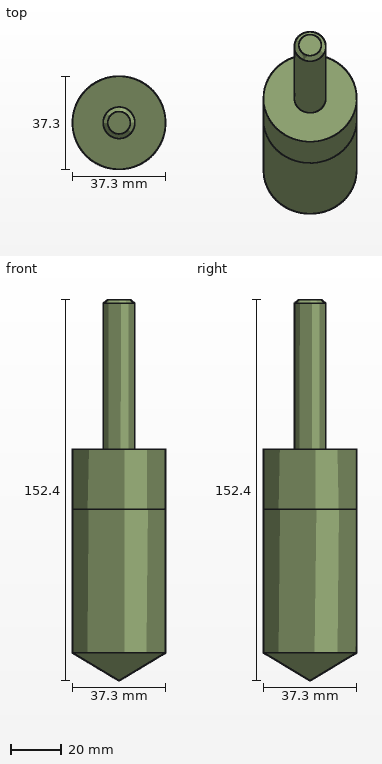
import cadquery as cq
import math

total_height = 152.4
body_diameter = 37.3
stem_diameter = 12.6
tip_angle = 118.0
joint_height = 68.6
shoulder_height = 92.7
chamfer_height = 1.5
chamfer_width = 1.8

body_radius = body_diameter / 2
stem_radius = stem_diameter / 2
cone_height = body_radius / math.tan(math.radians(tip_angle / 2))


def make_tip():
    """Solid cylinder ending in a conical point at the origin."""
    return (
        cq.Workplane("XZ")
        .lineTo(body_radius, cone_height)
        .lineTo(body_radius, joint_height)
        .lineTo(0, joint_height)
        .close()
        .revolve(360, (0, 0, 0), (0, 1, 0))
    )


def make_holder():
    """Cylindrical head on top of the tip, with a chamfered stem."""
    return (
        cq.Workplane("XZ")
        .moveTo(0, joint_height)
        .lineTo(body_radius, joint_height)
        .lineTo(body_radius, shoulder_height)
        .lineTo(stem_radius, shoulder_height)
        .lineTo(stem_radius, total_height - chamfer_height)
        .lineTo(stem_radius - chamfer_width, total_height)
        .lineTo(0, total_height)
        .close()
        .revolve(360, (0, 0, 0), (0, 1, 0))
    )


tip = make_tip()
holder = make_holder()

result = cq.Compound.makeCompound([tip.val(), holder.val()])